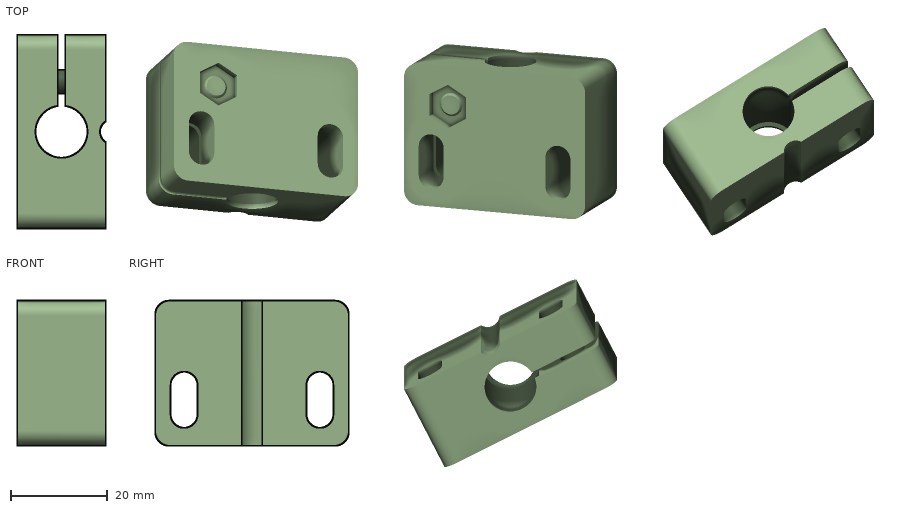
import cadquery as cq
import math

width = 18.3
length = 40.0
height = 30.0
corner_radius = 3.0

bore_diameter = 10.7
bore_y = length / 2
chamber_diameter = 12.4
bore_lip_height = 1.0
slit_width = 1.5

groove_diameter = 5.0
groove_depth = 1.2

screw_diameter = 5.0
screw_y = 30.3
screw_z = 21.5
screw_tip_inset = 1.5
screw_tip_chamfer = 0.5
pocket_across_flats = 8.0
pocket_depth = 1.95

slot_width = 5.5
slot_length = 11.5
slot_spacing = 28.0
slot_z = 9.5

center_x = width / 2


def vertical_cylinder(diameter, x, end_inset=0):
    return (
        cq.Workplane("XY", origin=(x, bore_y, end_inset))
        .circle(diameter / 2)
        .extrude(height - 2 * end_inset)
    )


def make_block():
    block = cq.Workplane("XY").box(width, length, height, centered=False)
    return block.edges("|X").fillet(corner_radius)


def make_slit():
    slit_length = length - bore_y
    return cq.Workplane("XY").box(slit_width, slit_length, height, centered=False).translate(
        (center_x - slit_width / 2, bore_y, 0)
    )


def make_mounting_slots():
    slots_y = [length / 2 + side * slot_spacing / 2 for side in (-1, 1)]
    return (
        cq.Workplane("YZ")
        .pushPoints([(y, slot_z) for y in slots_y])
        .slot2D(slot_length, slot_width, 90)
        .extrude(width)
    )


def make_hex_pocket():
    across_corners = pocket_across_flats / math.cos(math.pi / 6)
    hexagon = cq.Workplane("YZ").polygon(6, across_corners).extrude(pocket_depth)
    return hexagon.rotate((0, 0, 0), (1, 0, 0), 90).translate((0, screw_y, screw_z))


def make_screw():
    shank_end_x = center_x + slit_width
    shank = (
        cq.Workplane("YZ", origin=(screw_tip_inset, screw_y, screw_z))
        .circle(screw_diameter / 2)
        .extrude(shank_end_x - screw_tip_inset)
    )
    return shank.faces("<X").chamfer(screw_tip_chamfer)


groove_x = width - groove_depth + groove_diameter / 2

result = (
    make_block()
    .cut(vertical_cylinder(bore_diameter, center_x))
    .cut(vertical_cylinder(chamber_diameter, center_x, bore_lip_height))
    .cut(make_slit())
    .cut(vertical_cylinder(groove_diameter, groove_x))
    .cut(make_mounting_slots())
    .cut(make_hex_pocket())
    .union(make_screw())
)